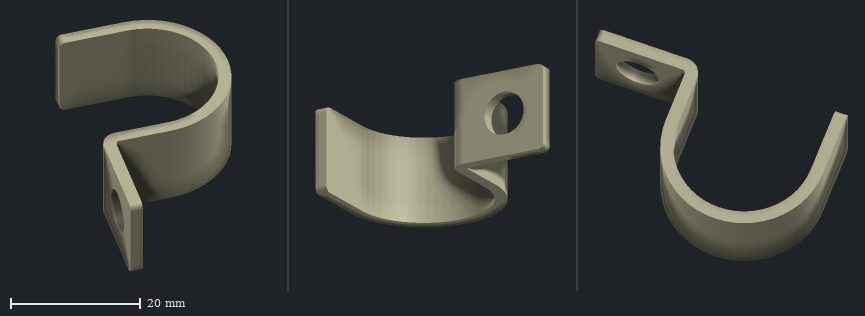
import cadquery as cq

length = 41.0
depth = 24.0
width = 14.0
thickness = 2.0
arch_radius = 13.0
bend_inner_radius = 0.5
corner_radius = 1.0
hole_diameter = 7.0
hole_to_end = 7.0

inner_radius = arch_radius - thickness
base_y = arch_radius - depth
tab_top_y = base_y + thickness
tab_end_x = length - arch_radius
bend_outer_radius = bend_inner_radius + thickness
bend_x = inner_radius + bend_outer_radius
bend_y = base_y + bend_outer_radius


def bent_strip():
    """Arch with a straight free leg and a second leg bent outward into a tab."""
    legs_and_arch = (
        cq.Workplane("XY")
        .moveTo(-arch_radius, base_y)
        .lineTo(-arch_radius, 0)
        .threePointArc((0, arch_radius), (arch_radius, 0))
        .lineTo(arch_radius, bend_y)
        .radiusArc((bend_x, tab_top_y), -bend_inner_radius)
        .lineTo(tab_end_x, tab_top_y)
        .lineTo(tab_end_x, base_y)
        .lineTo(bend_x, base_y)
        .radiusArc((inner_radius, bend_y), bend_outer_radius)
        .lineTo(inner_radius, 0)
        .threePointArc((0, inner_radius), (-inner_radius, 0))
        .lineTo(-inner_radius, base_y)
        .close()
    )
    return legs_and_arch.extrude(width / 2, both=True)


def round_end_corners(strip):
    """Round the width-wise corners of the tab end and of the free leg."""
    strip = strip.faces(">X").edges("|Y").fillet(corner_radius)
    free_leg_corners = cq.selectors.BoxSelector(
        (-arch_radius - thickness, base_y - thickness, -width),
        (-inner_radius + thickness, base_y + thickness, width),
    )
    return strip.edges("|X").edges(free_leg_corners).fillet(corner_radius)


def screw_hole():
    """Cylinder that cuts through the tab along Y."""
    return cq.Workplane("XY").add(
        cq.Solid.makeCylinder(
            hole_diameter / 2,
            thickness,
            cq.Vector(tab_end_x - hole_to_end, base_y, 0),
            cq.Vector(0, 1, 0),
        )
    )


result = round_end_corners(bent_strip()).cut(screw_hole())